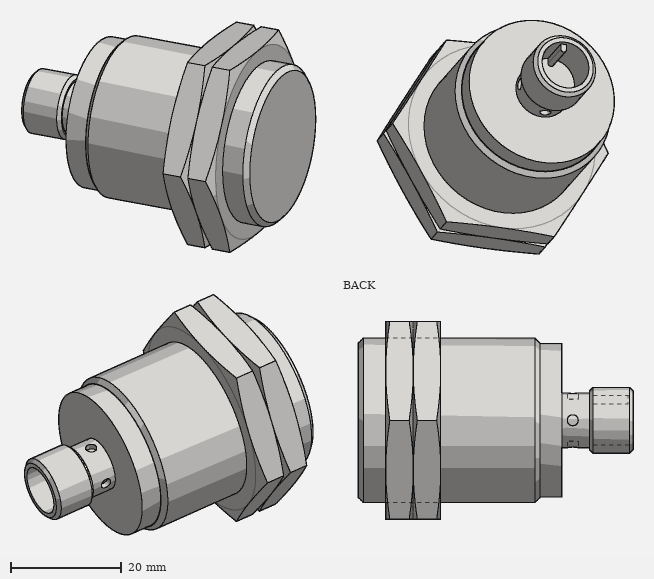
import cadquery as cq
import math

total_length = 50.0

head_length = 8.0
head_radius = 6.0
head_chamfer = 0.65
neck_radius = 5.0
socket_radius = 4.5
socket_depth = head_length
key_width = 1.1
key_height = 1.55
key_start = 1.0

neck_hole_count = 4
neck_hole_x = 11.0
neck_hole_diameter = 2.0
neck_hole_floor_radius = 3.9

collar_start = 13.0
collar_radius = 14.0
barrel_start = 17.0
barrel_radius = 15.0
barrel_rear_chamfer = 0.9
barrel_front_chamfer = 0.95

nut_count = 2
nut_thickness = 5.0
first_nut_x = 35.0
nut_across_flats = 36.0
nut_chamfer_angle = 15.0


def cylinder_x(start, length, radius):
    """Solid cylinder along +X, starting at the given X position."""
    return cq.Workplane("YZ", origin=(start, 0, 0)).circle(radius).extrude(length)


def make_socket_key():
    """Round-ended key projecting inward from the top of the socket."""
    tip_radius = key_width / 2
    tip_center_z = socket_radius - key_height + tip_radius
    rib_top = (socket_radius + neck_radius) / 2
    key_length = socket_depth - key_start
    rib = (
        cq.Workplane("YZ", origin=(key_start, 0, 0))
        .center(0, (tip_center_z + rib_top) / 2)
        .rect(key_width, rib_top - tip_center_z)
        .extrude(key_length)
    )
    tip = cylinder_x(key_start, key_length, tip_radius).translate((0, 0, tip_center_z))
    return rib.union(tip)


def make_neck_holes():
    """Cutters for the blind radial holes in the neck."""
    hole = (
        cq.Workplane("XY", origin=(neck_hole_x, 0, 0))
        .circle(neck_hole_diameter / 2)
        .extrude(head_radius)
    )
    cutters = cq.Workplane("XY")
    for i in range(neck_hole_count):
        angle = i * 360 / neck_hole_count
        cutters = cutters.union(hole.rotate((0, 0, 0), (1, 0, 0), angle))
    core = cylinder_x(head_length, collar_start - head_length, neck_hole_floor_radius)
    return cutters.cut(core)


def make_sensor():
    """Barrel, collar and connector as one turned body."""
    head = cylinder_x(0, head_length, head_radius).edges().chamfer(head_chamfer)
    neck = cylinder_x(head_length, collar_start - head_length, neck_radius)
    collar = cylinder_x(collar_start, barrel_start - collar_start, collar_radius)
    barrel = cylinder_x(barrel_start, total_length - barrel_start, barrel_radius)
    barrel = barrel.faces("<X").edges().chamfer(barrel_rear_chamfer)
    barrel = barrel.faces(">X").edges().chamfer(barrel_front_chamfer)
    sensor = head.union(neck).union(collar).union(barrel)
    sensor = sensor.cut(cylinder_x(0, socket_depth, socket_radius))
    return sensor.union(make_socket_key()).cut(make_neck_holes())


def make_nut(start):
    """Hex nut with corners on the Y axis and conical chamfers on both faces."""
    flat_radius = nut_across_flats / 2
    corner_radius = flat_radius / math.cos(math.radians(30))
    chamfer_length = (corner_radius - flat_radius) * math.tan(math.radians(nut_chamfer_angle))
    hexagon = (
        cq.Workplane("YZ", origin=(start, 0, 0))
        .polygon(6, 2 * corner_radius)
        .extrude(nut_thickness)
    )
    chamfer_envelope = (
        cq.Workplane("XY", origin=(start, 0, 0))
        .moveTo(0, 0)
        .lineTo(0, flat_radius)
        .lineTo(chamfer_length, corner_radius)
        .lineTo(nut_thickness - chamfer_length, corner_radius)
        .lineTo(nut_thickness, flat_radius)
        .lineTo(nut_thickness, 0)
        .close()
        .revolve(360, (0, 0, 0), (1, 0, 0))
    )
    bore = cylinder_x(start, nut_thickness, barrel_radius)
    return hexagon.intersect(chamfer_envelope).cut(bore)


sensor = make_sensor()
nuts = [make_nut(first_nut_x + i * nut_thickness) for i in range(nut_count)]

result = cq.Compound.makeCompound([sensor.val(), *[nut.val() for nut in nuts]])